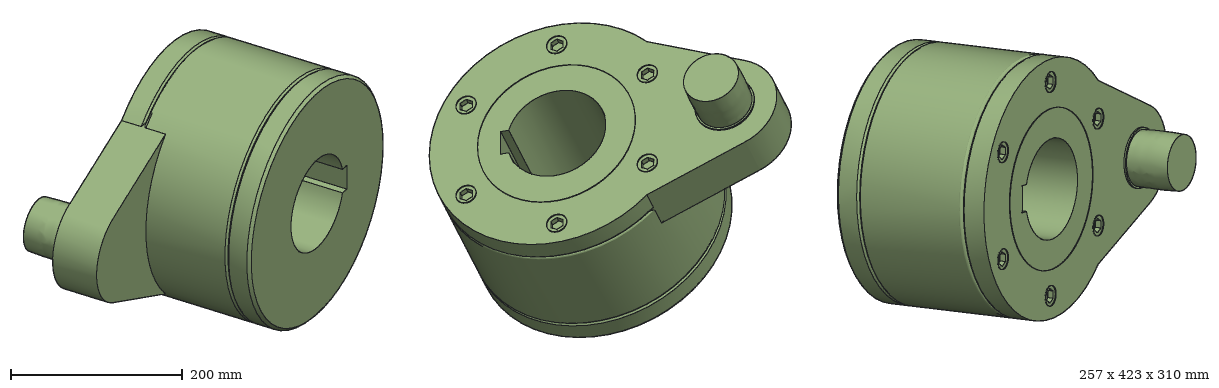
import cadquery as cq
import math

overall_width = 257.0
overall_length = 423.0
body_diameter = 310.0
body_radius = body_diameter / 2

body_length = 200.0
back_chamfer = 4.0
groove_chamfer = 2.5
front_joint = 29.0
front_joint_fillet = 4.0
rear_joint = 169.0

arm_thickness = 59.5
arm_end_radius = 63.0
arm_root_radius = 144.0
arm_reach = overall_length - body_radius - arm_end_radius

pin_length = overall_width - body_length
pin_end_radius = 33.5
pin_crown_radius = 34.3
collar_radius = 36.0
collar_height = 2.0

hub_radius = 96.0
hub_height = 1.0
bore_radius = 60.0
key_width = 32.0
key_bottom = 67.5

screw_count = 6
screw_circle_radius = 127.5
screw_head_radius = 12.3
screw_head_recess = 1.3
socket_across_flats = 15.0
socket_depth = 7.0


def x_cylinder(radius, x_start, x_end, y=0.0, z=0.0):
    """Cylinder along X between two X positions."""
    return (
        cq.Workplane("YZ", origin=(x_start, y, z))
        .circle(radius)
        .extrude(x_end - x_start)
    )


def make_body():
    """Solid drum with a joint groove at each end and a chamfered back edge."""
    fillet_mid = front_joint_fillet * (1 - math.sqrt(0.5))
    profile = (
        cq.Workplane("XY")
        .moveTo(0, 0)
        .lineTo(0, body_radius)
        .lineTo(front_joint - groove_chamfer, body_radius)
        .lineTo(front_joint, body_radius - groove_chamfer)
        .lineTo(front_joint, body_radius - front_joint_fillet)
        .threePointArc(
            (front_joint + fillet_mid, body_radius - fillet_mid),
            (front_joint + front_joint_fillet, body_radius),
        )
        .lineTo(rear_joint - groove_chamfer, body_radius)
        .lineTo(rear_joint, body_radius - groove_chamfer)
        .lineTo(rear_joint + groove_chamfer, body_radius)
        .lineTo(body_length - back_chamfer, body_radius)
        .lineTo(body_length, body_radius - back_chamfer)
        .lineTo(body_length, 0)
        .close()
    )
    return profile.revolve(360, (0, 0, 0), (1, 0, 0))


def make_arm():
    """Tapered plate whose flanks are tangent to the root circle and the end round."""
    flank_angle = math.asin((arm_root_radius - arm_end_radius) / arm_reach)
    flank_y = -math.sin(flank_angle)
    flank_z = math.cos(flank_angle)
    root = (arm_root_radius * flank_y, arm_root_radius * flank_z)
    tip = (-arm_reach + arm_end_radius * flank_y, arm_end_radius * flank_z)
    return (
        cq.Workplane("YZ")
        .moveTo(*root)
        .lineTo(*tip)
        .threePointArc((-arm_reach - arm_end_radius, 0), (tip[0], -tip[1]))
        .lineTo(root[0], -root[1])
        .close()
        .extrude(arm_thickness)
    )


def make_pin():
    """Crowned pin with a low collar where it meets the arm."""
    pin = (
        cq.Workplane("XY")
        .moveTo(0, 0)
        .lineTo(0, pin_end_radius)
        .threePointArc((-pin_length / 2, pin_crown_radius), (-pin_length, pin_end_radius))
        .lineTo(-pin_length, 0)
        .close()
        .revolve(360, (0, 0, 0), (1, 0, 0))
        .translate((0, -arm_reach, 0))
    )
    return pin.union(x_cylinder(collar_radius, -collar_height, 0, y=-arm_reach))


def make_bore():
    """Through bore with a keyway on its +Y side."""
    through_length = hub_height + body_length
    keyway = cq.Workplane("XY").box(
        through_length, key_bottom, key_width, centered=(False, False, True)
    )
    return x_cylinder(bore_radius, -hub_height, body_length).union(
        keyway.translate((-hub_height, 0, 0))
    )


def make_screw_recess(angle):
    """Shallow round recess over a hexagon socket with corners pointing along Z."""
    y = screw_circle_radius * math.sin(angle)
    z = screw_circle_radius * math.cos(angle)
    corner_diameter = socket_across_flats / math.cos(math.pi / 6)
    socket = (
        cq.Workplane("YZ", origin=(0, y, z))
        .transformed(rotate=(0, 0, 90))
        .polygon(6, corner_diameter)
        .extrude(screw_head_recess + socket_depth)
    )
    return x_cylinder(screw_head_radius, 0, screw_head_recess, y, z).union(socket)


result = make_body().union(make_arm()).union(make_pin())
result = result.union(x_cylinder(hub_radius, -hub_height, 0))
result = result.cut(make_bore())
for index in range(screw_count):
    result = result.cut(make_screw_recess(2 * math.pi * index / screw_count))